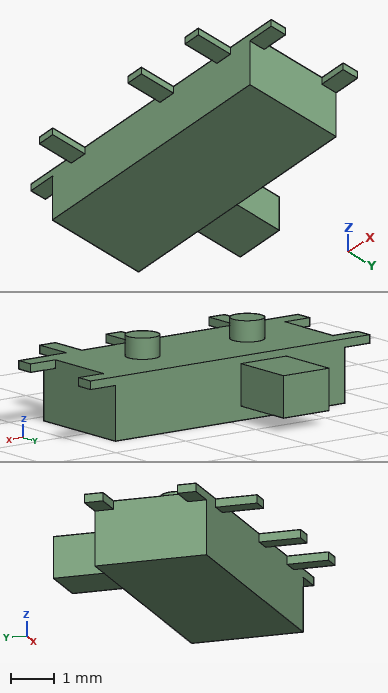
import cadquery as cq

body_length = 6.58
body_depth = 2.7
body_height = 1.5

overall_length = 8
sheet_thickness = 0.2
strip_width = 0.45
pin_length = 1.0
pin_centers_x = (-2.43, 0.52, 2.42)

peg_diameter = 0.8
peg_height = 0.5
peg_spacing = 3.0
peg_center_x = -0.06
peg_center_y = -0.05

actuator_width = 1.3
actuator_length = 1.6
actuator_height = 0.99
actuator_center_x = -0.96
actuator_base = 0.34

front_y = -body_depth / 2
back_y = body_depth / 2


def block(size, center_x, center_y, base_z):
    """Rectangular block placed by its plan centre and its base height."""
    return (
        cq.Workplane("XY")
        .box(*size, centered=(True, True, False))
        .translate((center_x, center_y, base_z))
    )


result = block((body_length, body_depth, body_height), 0, 0, 0)

sheet_base = body_height - sheet_thickness
for lug_y in (front_y + strip_width / 2, back_y - strip_width / 2):
    result = result.union(block((overall_length, strip_width, sheet_thickness), 0, lug_y, sheet_base))

for pin_x in pin_centers_x:
    pin_size = (strip_width, pin_length, sheet_thickness)
    result = result.union(block(pin_size, pin_x, front_y - pin_length / 2, sheet_base))

for side in (-1, 1):
    peg_x = peg_center_x + side * peg_spacing / 2
    peg = (
        cq.Workplane("XY", origin=(peg_x, peg_center_y, body_height))
        .circle(peg_diameter / 2)
        .extrude(peg_height)
    )
    result = result.union(peg)

actuator_size = (actuator_width, actuator_length, actuator_height)
actuator_y = back_y + actuator_length / 2
result = result.union(block(actuator_size, actuator_center_x, actuator_y, actuator_base))